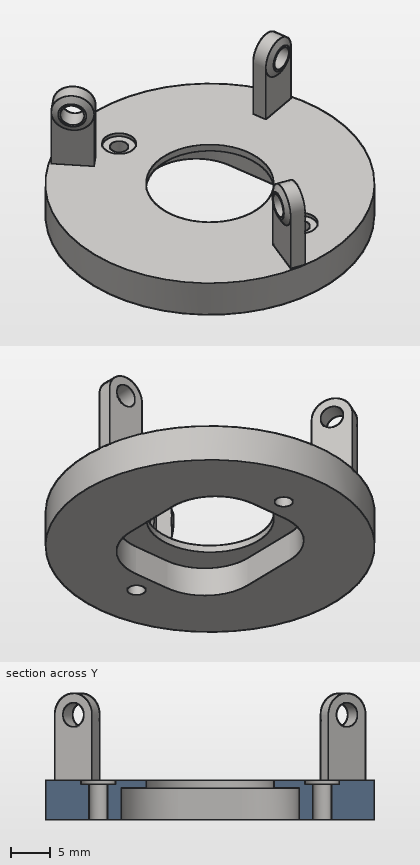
import cadquery as cq

disc_diameter = 41.2
disc_height = 5.0
bore_diameter = 16.0
recess_length = 22.25
recess_width = 19.45
recess_corner_radius = 7.13
lip_height = 1.0

screw_offset = 14.0
screw_diameter = 2.3
counterbore_diameter = 4.3
counterbore_depth = 0.5

overall_height = 15.85
lug_width = 5.4
lug_thickness = 1.98
lug_radial_center = 17.45
lug_inner_face = -4.0
lug_hole_diameter = 3.0
boss_height = 0.5
boss_tip_diameter = 3.55
lug_spacing_angle = 120

lug_radius = lug_width / 2
pivot_height = overall_height - lug_radius


def make_base():
    """Ring with a thin lip over a wider rounded-rectangle recess, plus two screw holes."""
    base = cq.Workplane("XY").circle(disc_diameter / 2).extrude(disc_height)
    base = base.cut(cq.Workplane("XY").circle(bore_diameter / 2).extrude(disc_height))
    recess = (
        cq.Workplane("XY")
        .rect(recess_length, recess_width)
        .extrude(disc_height - lip_height)
        .edges("|Z")
        .fillet(recess_corner_radius)
    )
    base = base.cut(recess)
    return (
        base.faces(">Z")
        .workplane(origin=(0, 0, disc_height))
        .pushPoints([(-screw_offset, 0), (screw_offset, 0)])
        .cboreHole(screw_diameter, counterbore_diameter, counterbore_depth)
    )


def make_lug():
    """Round-topped lug on the +Y side, with a conical boss on its +X face."""
    left = lug_radial_center - lug_radius
    right = lug_radial_center + lug_radius
    plate = (
        cq.Workplane("YZ", origin=(lug_inner_face, 0, 0))
        .moveTo(left, disc_height)
        .lineTo(left, pivot_height)
        .threePointArc((lug_radial_center, overall_height), (right, pivot_height))
        .lineTo(right, disc_height)
        .close()
        .extrude(lug_thickness)
    )
    boss_base = (lug_inner_face + lug_thickness, lug_radial_center, pivot_height)
    boss = cq.Workplane(
        cq.Solid.makeCone(
            lug_radius, boss_tip_diameter / 2, boss_height, cq.Vector(*boss_base), cq.Vector(1, 0, 0)
        )
    )
    hole = (
        cq.Workplane("YZ", origin=(lug_inner_face, lug_radial_center, pivot_height))
        .circle(lug_hole_diameter / 2)
        .extrude(lug_thickness + boss_height)
    )
    return plate.union(boss).cut(hole)


rear_lug = make_lug()
right_lug = rear_lug.rotate((0, 0, 0), (0, 0, 1), -lug_spacing_angle)
left_lug = right_lug.mirror("YZ")

result = make_base()
for lug in (rear_lug, right_lug, left_lug):
    result = result.union(lug)